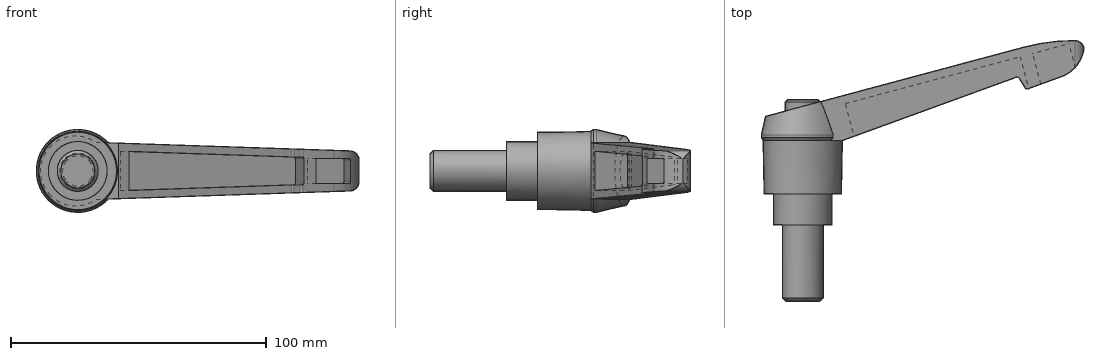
import cadquery as cq
import math


HEAD_RADIUS = 16.22
HEAD_RIM_START = 1.0
HEAD_RIM_END = 2.1
HEAD_TOP = 20.2
HEAD_TAPER = 0.23
SKIRT_TOP_RADIUS = 15.5
SKIRT_BOTTOM_RADIUS = 15.2
SKIRT_BOTTOM = -21.0
SLEEVE_RADIUS = 23.0 / 2
SLEEVE_BOTTOM = -33.1
STUD_RADIUS = 16.0 / 2
STUD_BOTTOM = -63.0
STUD_CHAMFER = 1.4
SCREW_RADIUS = 7.0
SCREW_TOP = 15.9
SCREW_CHAMFER = 1.0

TOP_ANGLE = 15.0
BOTTOM_ANGLE = 20.0
TOP_AT_AXIS = 13.3
ARM_TOP = 39.0
TIP_X = 126.2 - HEAD_RADIUS
TIP_ROUND_X = 3.8
NOSE_Y = 36.0
UNDERSIDE_X = 15.9
NOTCH_TOP_X = 84.2
NOTCH_BOTTOM = (87.4, 19.8)
NOTCH_FILLET = 0.9
GRIP_END_X = 100.1
GRIP_BELLY = (106.3, 28.3)

ARM_HALF_WIDTH = 11.44
ARM_WIDTH_TAPER = 0.0335
TIP_CORNER_RADIUS = 3.8

ROOF = 3.3
WALL = 3.09
MAIN_POCKET_MOUTH = ((20.1, 1.5), (88.4, 20.2))
GRIP_POCKET_MOUTH = ((93.0, 22.0), (106.5, 28.5))
POCKET_END_FILLET = 0.6
GRIP_POCKET_HALF_WIDTH = 4.86

TOP_SLOPE = math.tan(math.radians(TOP_ANGLE))
BOTTOM_SLOPE = math.tan(math.radians(BOTTOM_ANGLE))
CLEARANCE = 50.5


def top_height(x):
    return TOP_AT_AXIS + TOP_SLOPE * x


def arm_half_width(x):
    return ARM_HALF_WIDTH - ARM_WIDTH_TAPER * x


def make_head():
    """Tapered head, cut off by the sloping top plane."""
    top_radius = HEAD_RADIUS - HEAD_TAPER * (HEAD_TOP - HEAD_RIM_END)
    head = (
        cq.Workplane("XY")
        .polyline([
            (0, 0),
            (SKIRT_TOP_RADIUS, 0),
            (HEAD_RADIUS, HEAD_RIM_START),
            (HEAD_RADIUS, HEAD_RIM_END),
            (top_radius, HEAD_TOP),
            (0, HEAD_TOP),
        ])
        .close()
        .revolve(360, (0, 0, 0), (0, 1, 0))
    )
    above_top = (
        cq.Workplane("XY")
        .polyline([
            (-CLEARANCE, top_height(-CLEARANCE)),
            (CLEARANCE, top_height(CLEARANCE)),
            (-CLEARANCE, top_height(CLEARANCE)),
        ])
        .close()
        .extrude(CLEARANCE, both=True)
    )
    return head.cut(above_top)


def make_stem():
    """Skirt, sleeve, chamfered stud and the screw end showing above the head."""
    return (
        cq.Workplane("XY")
        .polyline([
            (0, STUD_BOTTOM),
            (STUD_RADIUS - STUD_CHAMFER, STUD_BOTTOM),
            (STUD_RADIUS, STUD_BOTTOM + STUD_CHAMFER),
            (STUD_RADIUS, SLEEVE_BOTTOM),
            (SLEEVE_RADIUS, SLEEVE_BOTTOM),
            (SLEEVE_RADIUS, SKIRT_BOTTOM),
            (SKIRT_BOTTOM_RADIUS, SKIRT_BOTTOM),
            (SKIRT_TOP_RADIUS, 0),
            (SCREW_RADIUS, 0),
            (SCREW_RADIUS, SCREW_TOP - SCREW_CHAMFER),
            (SCREW_RADIUS - SCREW_CHAMFER, SCREW_TOP),
            (0, SCREW_TOP),
        ])
        .close()
        .revolve(360, (0, 0, 0), (0, 1, 0))
    )


def make_arm():
    """Side outline intersected with the tapering outline seen along Y."""
    nose_start_x = TIP_X - TIP_ROUND_X
    slope_meets_top_x = (ARM_TOP - TOP_AT_AXIS) / TOP_SLOPE
    tangent_length = nose_start_x - slope_meets_top_x
    arc_start_x = slope_meets_top_x - tangent_length * math.cos(math.radians(TOP_ANGLE))
    grip_end_y = NOTCH_BOTTOM[1] + BOTTOM_SLOPE * (GRIP_END_X - NOTCH_BOTTOM[0])
    notch_top = (NOTCH_TOP_X, BOTTOM_SLOPE * (NOTCH_TOP_X - UNDERSIDE_X))

    side = (
        cq.Workplane("XY")
        .moveTo(0, 0)
        .lineTo(0, TOP_AT_AXIS)
        .lineTo(arc_start_x, top_height(arc_start_x))
        .tangentArcPoint((nose_start_x, ARM_TOP), relative=False)
        .tangentArcPoint((TIP_X, NOSE_Y), relative=False)
        .threePointArc(GRIP_BELLY, (GRIP_END_X, grip_end_y))
        .lineTo(*NOTCH_BOTTOM)
        .lineTo(*notch_top)
        .lineTo(UNDERSIDE_X, 0)
        .close()
        .extrude(CLEARANCE, both=True)
    )
    for corner in (NOTCH_BOTTOM, notch_top):
        selector = cq.selectors.NearestToPointSelector((*corner, 0))
        side = side.edges("|Z").edges(selector).fillet(NOTCH_FILLET)

    root_half_width = arm_half_width(0)
    tip_half_width = arm_half_width(TIP_X)
    plan = (
        cq.Workplane("XZ")
        .polyline([
            (0, root_half_width),
            (TIP_X, tip_half_width),
            (TIP_X, -tip_half_width),
            (0, -root_half_width),
        ])
        .close()
        .extrude(CLEARANCE, both=True)
        .edges("|Y and >X")
        .fillet(TIP_CORNER_RADIUS)
    )
    return side.intersect(plan)


def make_pocket(mouth, half_width_at):
    """Cutter with its floor parallel to the arm top and its walls square to the floor."""
    angle = math.radians(TOP_ANGLE)
    along = (math.cos(angle), math.sin(angle), 0)
    down = (math.sin(angle), -math.cos(angle), 0)
    floor_height = TOP_AT_AXIS - ROOF / math.cos(angle)
    floor_plane = cq.Plane(origin=(0, floor_height, 0), xDir=along, normal=down)

    start, end = [
        x * along[0] + (y - floor_height) * along[1]
        for x, y in mouth
    ]
    start_half = half_width_at(mouth[0][0])
    end_half = half_width_at(mouth[1][0])
    return (
        cq.Workplane(floor_plane)
        .polyline([
            (start, -start_half),
            (end, -end_half),
            (end, end_half),
            (start, start_half),
        ])
        .close()
        .extrude(CLEARANCE)
        .edges(cq.selectors.ParallelDirSelector(cq.Vector(*down)))
        .edges(">X")
        .fillet(POCKET_END_FILLET)
    )


main_pocket = make_pocket(MAIN_POCKET_MOUTH, lambda x: arm_half_width(x) - WALL)
grip_pocket = make_pocket(GRIP_POCKET_MOUTH, lambda x: GRIP_POCKET_HALF_WIDTH)

arm = make_arm().cut(main_pocket).cut(grip_pocket)
result = arm.union(make_head()).union(make_stem())